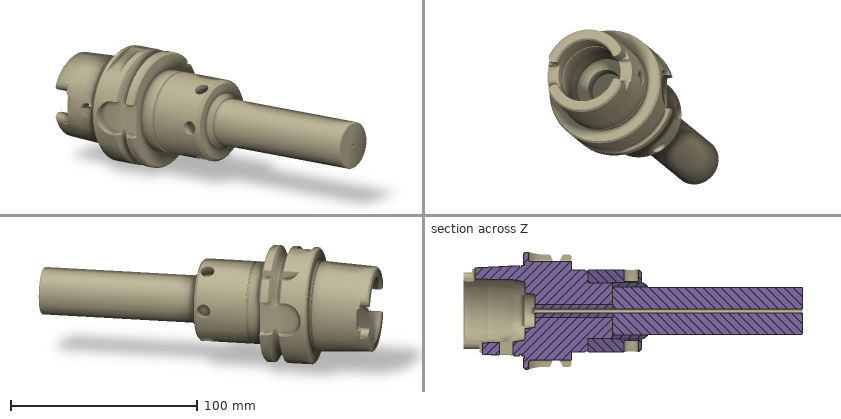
import cadquery as cq
import math

TOTAL_LENGTH = 182.0
CENTRE_HOLE_DIAMETER = 2.0

TAPER_MOUTH_RADIUS = 23.0
TAPER_END_RADIUS = 24.4
TAPER_END = 30.0
MOUTH_CHAMFER = 1.0
RELIEF_RADIUS = 23.7
RELIEF_WIDTH = 1.0
BORE_RADIUS = 34.0 / 2
BORE_MOUTH_RADIUS = 17.8
BORE_STEP = 13.0
INNER_BORE_RADIUS = 16.7
BORE_CONE_START = 25.5
BORE_FLOOR_RADIUS = 15.5
BORE_DEPTH = 32.8
RECESS_MOUTH_RADIUS = 9.5
RECESS_FLOOR_RADIUS = 8.7
RECESS_DEPTH = 38.2

DRIVE_SLOT_WIDTH = 12.7
DEEP_SLOT_DEPTH = 10.0
SHALLOW_SLOT_DEPTH = 6.0
DRIVE_SLOT_CORNER_RADIUS = 1.5
DRIVE_SLOT_EDGE_RADIUS = 3.1

ACCESS_X = 23.0
ACCESS_SPOT_DIAMETER = 8.0
ACCESS_SPOT_FLOOR = 23.5
ACCESS_SPOT_REACH = 1.8
ACCESS_HOLE_DIAMETER = 7.0

FLANGE_START = 32.0
FLANGE_END = 58.0
FLANGE_RADIUS = 63.0 / 2
FLANGE_CHAMFER = 1.0
FACE_RECESS_RADIUS = 25.5
FACE_RECESS_DEPTH = 0.4
GROOVE_START = 46.2
GROOVE_BEVEL_WIDTH = 0.5
GROOVE_BEVEL_DEPTH = 0.4
GROOVE_END = 53.3
GROOVE_FLOOR_START = 49.0
GROOVE_FLOOR_END = 50.6
GROOVE_RADIUS = 27.3
GROOVE_FOOT_SIZE = 1.1

GRIPPER_SLOT_RADIUS = 9.3
GRIPPER_SLOT_CENTRE = 44.2
GRIPPER_SLOT_FLOOR = 26.5
GRIPPER_SLOT_FILLET = 1.0
NOTCH_OFFSET = 20.0
NOTCH_CUTTER_RADIUS = 8.0
NOTCH_CENTRE = 45.1
FLAT_START = 35.0
FLAT_END = 43.5
FLAT_HEIGHT = 29.1
FLAT_TILT = 22.0

NECK_RADIUS = 44.4 / 2
NECK_GROOVE_RADIUS = 21.7
NECK_GROOVE_WIDTH = 1.5
NUT_START = 66.8
NUT_END = 95.5
NUT_CHAMFER = 1.6
NUT_BORE_RADIUS = 30.0 / 2
WRENCH_HOLE_COUNT = 6
WRENCH_HOLE_DIAMETER = 7.5
WRENCH_HOLE_X = 89.9
WRENCH_HOLE_FLOOR = 16.0

SPIGOT_END = 80.0
COLLET_SHOULDER = 96.6
COLLET_END = 98.8
COLLET_END_RADIUS = 13.1
BAR_RADIUS = 12.7
BAR_CHAMFER = 0.5
SCREW_DIAMETER = 6.5


def turned(profile):
    """Revolve a closed (x, radius) profile about the X axis."""
    return cq.Workplane("XY").polyline(profile).close().revolve(360, (0, 0, 0), (1, 0, 0))


def rod(start, end, diameter):
    """Round bar along the X axis."""
    return cq.Workplane("YZ", origin=(start, 0, 0)).circle(diameter / 2).extrude(end - start)


def block(x_range, y_range, z_range):
    """Box between the given limits."""
    size = [high - low for low, high in (x_range, y_range, z_range)]
    corner = (x_range[0], y_range[0], z_range[0])
    return cq.Workplane("XY").box(*size, centered=False).translate(corner)


def taper_radius(x):
    """Outer radius of the taper at a distance x from its mouth."""
    return TAPER_MOUTH_RADIUS + (TAPER_END_RADIUS - TAPER_MOUTH_RADIUS) * x / TAPER_END


def taper_body():
    """Solid taper with a relief groove, before the bore is cut."""
    relief_end = TAPER_END + RELIEF_WIDTH
    return turned([
        (0, 0),
        (0, TAPER_MOUTH_RADIUS - MOUTH_CHAMFER),
        (MOUTH_CHAMFER, taper_radius(MOUTH_CHAMFER)),
        (TAPER_END, TAPER_END_RADIUS),
        (TAPER_END, RELIEF_RADIUS),
        (relief_end, RELIEF_RADIUS),
        (relief_end, TAPER_END_RADIUS),
        (FLANGE_START + FACE_RECESS_DEPTH, TAPER_END_RADIUS),
        (FLANGE_START + FACE_RECESS_DEPTH, 0),
    ])


def bore_cutter():
    """Stepped bore that opens at the taper mouth."""
    return turned([
        (0, 0),
        (0, BORE_MOUTH_RADIUS),
        (BORE_MOUTH_RADIUS - BORE_RADIUS, BORE_RADIUS),
        (BORE_STEP, BORE_RADIUS),
        (BORE_STEP, INNER_BORE_RADIUS),
        (BORE_CONE_START, INNER_BORE_RADIUS),
        (BORE_DEPTH, BORE_FLOOR_RADIUS),
        (BORE_DEPTH, RECESS_MOUTH_RADIUS),
        (RECESS_DEPTH, RECESS_FLOOR_RADIUS),
        (RECESS_DEPTH, 0),
    ])


def drive_slot_cutter(side, depth):
    """Slot through the taper wall on the +Y (side = 1) or -Y (side = -1) side."""
    half_width = DRIVE_SLOT_WIDTH / 2
    reach = 2 * TAPER_END_RADIUS
    slot = (
        block((-depth, depth), (0, reach), (-half_width, half_width))
        .edges("|Y and >X").fillet(DRIVE_SLOT_CORNER_RADIUS)
    )
    return slot if side > 0 else slot.mirror("XZ")


def slot_edge_cutter(side, end, depth):
    """Rounds one long outer edge of a drive slot, on its +Z (end = 1) or -Z (end = -1) wall."""
    radius = DRIVE_SLOT_EDGE_RADIUS
    wall = DRIVE_SLOT_WIDTH / 2
    centre_z = wall + radius
    centre_y = math.sqrt((TAPER_MOUTH_RADIUS - radius) ** 2 - centre_z ** 2)
    length = depth - DRIVE_SLOT_CORNER_RADIUS
    reach = 2 * TAPER_END_RADIUS
    wedge = (
        cq.Workplane("YZ")
        .moveTo(centre_y, wall)
        .lineTo(reach, wall)
        .lineTo(reach, centre_z * reach / centre_y)
        .lineTo(centre_y, centre_z)
        .close()
        .extrude(length)
    )
    round_edge = cq.Workplane("YZ").center(centre_y, centre_z).circle(radius).extrude(length)
    cutter = wedge.cut(round_edge)
    if side < 0:
        cutter = cutter.mirror("XZ")
    return cutter if end > 0 else cutter.mirror("XY")


def flange_body():
    """Gripper flange with its V groove and the shallow recess around the taper."""
    foot_radius = GROOVE_RADIUS + GROOVE_FOOT_SIZE
    recess_floor = FLANGE_START + FACE_RECESS_DEPTH
    return turned([
        (recess_floor, 0),
        (recess_floor, FACE_RECESS_RADIUS),
        (FLANGE_START, FACE_RECESS_RADIUS),
        (FLANGE_START, FLANGE_RADIUS - FLANGE_CHAMFER),
        (FLANGE_START + FLANGE_CHAMFER, FLANGE_RADIUS),
        (GROOVE_START, FLANGE_RADIUS),
        (GROOVE_START + GROOVE_BEVEL_WIDTH, FLANGE_RADIUS - GROOVE_BEVEL_DEPTH),
        (GROOVE_FLOOR_START - GROOVE_FOOT_SIZE, foot_radius),
        (GROOVE_FLOOR_START, GROOVE_RADIUS),
        (GROOVE_FLOOR_END, GROOVE_RADIUS),
        (GROOVE_FLOOR_END + GROOVE_FOOT_SIZE, foot_radius),
        (GROOVE_END, FLANGE_RADIUS),
        (FLANGE_END - FLANGE_CHAMFER, FLANGE_RADIUS),
        (FLANGE_END, FLANGE_RADIUS - FLANGE_CHAMFER),
        (FLANGE_END, 0),
    ])


def gripper_slot_cutter(side):
    """Round-ended slot, open at the rear of the flange, on the +Y or -Y side."""
    width = 2 * GRIPPER_SLOT_RADIUS
    length = 2 * (FLANGE_END - GRIPPER_SLOT_CENTRE) + width
    slot = (
        cq.Workplane("XZ", origin=(FLANGE_END, -GRIPPER_SLOT_FLOOR, 0))
        .slot2D(length, width)
        .extrude(FLANGE_RADIUS)
        .faces(">Y").edges().fillet(GRIPPER_SLOT_FILLET)
    )
    return slot if side < 0 else slot.mirror("XZ")


def orientation_notch_cutter():
    """V notch with one wall along Y and one along Z, run out with a round cutter."""
    reach = 2 * FLANGE_RADIUS
    straight = block((NOTCH_CENTRE, FLANGE_END), (NOTCH_OFFSET, reach), (NOTCH_OFFSET, reach))
    cutter = (
        cq.Workplane("XZ", origin=(NOTCH_CENTRE, NOTCH_OFFSET, NOTCH_OFFSET + NOTCH_CUTTER_RADIUS))
        .circle(NOTCH_CUTTER_RADIUS)
        .extrude(-FLANGE_RADIUS)
    )
    return straight.union(cutter)


def flange_flat_cutter():
    """Flat across the flange rim, its normal tilted from +Z towards -Y."""
    reach = FLANGE_RADIUS
    cutter = block((FLAT_START, FLAT_END), (-reach, reach), (FLAT_HEIGHT, FLAT_HEIGHT + reach))
    return cutter.rotate((0, 0, 0), (1, 0, 0), FLAT_TILT)


def neck_body():
    """Neck behind the flange, its groove against the nut, and the spigot inside the nut."""
    groove_start = NUT_START - NECK_GROOVE_WIDTH
    return turned([
        (FLANGE_END, 0),
        (FLANGE_END, NECK_RADIUS),
        (groove_start, NECK_RADIUS),
        (groove_start, NECK_GROOVE_RADIUS),
        (NUT_START, NECK_GROOVE_RADIUS),
        (NUT_START, NUT_BORE_RADIUS),
        (SPIGOT_END, NUT_BORE_RADIUS),
        (SPIGOT_END, 0),
    ])


def cut_access_hole(body):
    """Round spot face on the -Y side of the taper; only its upper half goes on into the bore."""
    spot = (
        cq.Workplane("XZ", origin=(ACCESS_X, -ACCESS_SPOT_FLOOR, 0))
        .circle(ACCESS_SPOT_DIAMETER / 2)
        .extrude(ACCESS_SPOT_REACH)
    )
    hole = (
        cq.Workplane("XZ", origin=(ACCESS_X, 0, 0))
        .circle(ACCESS_HOLE_DIAMETER / 2)
        .extrude(TAPER_END_RADIUS)
    )
    radius = ACCESS_SPOT_DIAMETER / 2
    upper_half = block((ACCESS_X - radius, ACCESS_X + radius), (-TAPER_END_RADIUS, 0), (0, radius))
    return body.cut(spot).cut(hole.intersect(upper_half))


def make_holder():
    """Taper, flange and neck in one piece, with a through hole for the stop screw."""
    flange = flange_body().cut(orientation_notch_cutter()).cut(flange_flat_cutter())
    for side in (1, -1):
        flange = flange.cut(gripper_slot_cutter(side))
    holder = taper_body().union(flange).union(neck_body()).cut(bore_cutter())
    for side, depth in ((1, SHALLOW_SLOT_DEPTH), (-1, DEEP_SLOT_DEPTH)):
        holder = holder.cut(drive_slot_cutter(side, depth))
        for end in (1, -1):
            holder = holder.cut(slot_edge_cutter(side, end, depth))
    holder = cut_access_hole(holder)
    return holder.cut(rod(RECESS_DEPTH, SPIGOT_END, SCREW_DIAMETER))


def make_nut():
    """Clamping nut with flat-bottomed wrench holes around its nose."""
    nut = turned([
        (NUT_START, NUT_BORE_RADIUS),
        (NUT_START, NECK_RADIUS),
        (NUT_END - NUT_CHAMFER, NECK_RADIUS),
        (NUT_END, NECK_RADIUS - NUT_CHAMFER),
        (NUT_END, NUT_BORE_RADIUS),
    ])
    hole = (
        cq.Workplane("XZ", origin=(WRENCH_HOLE_X, -WRENCH_HOLE_FLOOR, 0))
        .circle(WRENCH_HOLE_DIAMETER / 2)
        .extrude(NECK_RADIUS)
    )
    for index in range(WRENCH_HOLE_COUNT):
        nut = nut.cut(hole.rotate((0, 0, 0), (1, 0, 0), index * 360 / WRENCH_HOLE_COUNT))
    return nut


def make_collet():
    """Sleeve between the nut and the bar, with a conical nose."""
    return turned([
        (SPIGOT_END, BAR_RADIUS),
        (SPIGOT_END, NUT_BORE_RADIUS),
        (COLLET_SHOULDER, NUT_BORE_RADIUS),
        (COLLET_END, COLLET_END_RADIUS),
        (COLLET_END, BAR_RADIUS),
    ])


def make_bar():
    """Round bar held in the collet, with a centre hole along its whole length."""
    bar = rod(SPIGOT_END, TOTAL_LENGTH, 2 * BAR_RADIUS).faces(">X").chamfer(BAR_CHAMFER)
    return bar.cut(rod(SPIGOT_END, TOTAL_LENGTH, CENTRE_HOLE_DIAMETER))


def make_stop_screw():
    """Drilled screw between the bore recess and the bar."""
    screw = rod(RECESS_DEPTH, SPIGOT_END, SCREW_DIAMETER)
    return screw.cut(rod(RECESS_DEPTH, SPIGOT_END, CENTRE_HOLE_DIAMETER))


holder = make_holder()
nut = make_nut()
collet = make_collet()
bar = make_bar()
stop_screw = make_stop_screw()

result = cq.Compound.makeCompound([
    holder.val(), nut.val(), collet.val(), bar.val(), stop_screw.val()
])